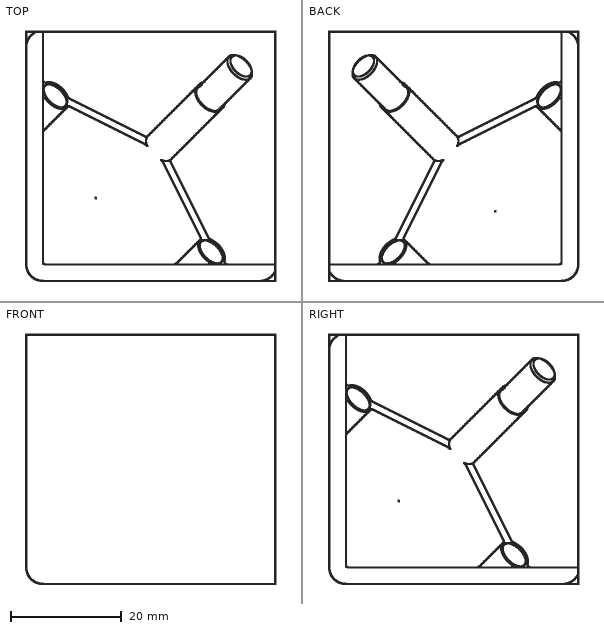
import cadquery as cq
import math

side = 45.0
wall = 3.0
outer_round = wall
inner_fillet = 0.4

relief_leg = wall
relief_radius = 2.0
relief_angle = math.radians(60)

shelf_height = 41.7
step_height = 57.05
tip_height = 67.2

pin_radius = 2.95
tip_radius = 2.75
tip_chamfer = 0.4

gusset_root_thickness = 3.0
gusset_top_thickness = 2.0

pad_radius = 2.95
pad_offset = 23.0
pad_length = 13.5
recess_radius = 2.6
recess_depth = 0.22

clearance = 0.45
tolerance = 0.05

origin = cq.Vector(0, 0, 0)
ones = cq.Vector(1, 1, 1)
diagonal = ones.normalized()
wall_normals = [cq.Vector(1, 0, 0), cq.Vector(0, 1, 0), cq.Vector(0, 0, 1)]
toward_walls = [(ones - normal * 3).normalized() for normal in wall_normals]


def cube(size):
    return cq.Workplane("XY").box(size, size, size, centered=False)


def make_walls():
    """Cube with its three edges at the origin rounded, hollowed to three walls."""
    block = cube(side)
    near_edges = [edge for edge in block.edges().vals() if edge.Center().dot(ones) < side]
    block = block.newObject(near_edges).fillet(outer_round)
    return block.cut(cube(side - wall).translate(ones * wall))


def make_pin():
    """Stepped round pin with a chamfered tip."""
    outline = [
        (0, 0),
        (pin_radius, 0),
        (pin_radius, step_height),
        (tip_radius, step_height),
        (tip_radius, tip_height - tip_chamfer),
        (tip_radius - tip_chamfer, tip_height),
        (0, tip_height),
    ]
    across = toward_walls[0]
    plane = cq.Plane(origin, across, across.cross(diagonal))
    return cq.Workplane(plane).polyline(outline).close().revolve(360, (0, 0), (0, 1))


def make_gusset(direction):
    """Gusset from the diagonal to a pad, thinning toward its top."""
    root = gusset_root_thickness / 2
    top = gusset_top_thickness / 2
    outline = [(-root, 0), (root, 0), (top, shelf_height), (-top, shelf_height)]
    plane = cq.Plane(origin, diagonal.cross(direction), direction)
    return cq.Workplane(plane).polyline(outline).close().extrude(pad_offset)


def make_pad_cylinder(direction, radius, depth):
    """Cylinder sunk from the top of a pad, parallel to the pin."""
    center = diagonal * shelf_height + direction * pad_offset
    return cq.Workplane(cq.Plane(center, direction, diagonal)).circle(radius).extrude(-depth)


def is_inner_corner(edge):
    """True for edges below the gusset tops where walls, pin, gussets and pads meet."""
    box = edge.BoundingBox()
    inside_walls = min(box.xmin, box.ymin, box.zmin) > wall - tolerance
    on_wall_end = max(box.xmin, box.ymin, box.zmin) > side - tolerance
    below_shelf = edge.Center().dot(diagonal) < shelf_height - tolerance
    return inside_walls and below_shelf and not on_wall_end


def relief_arc_point(angle):
    """Point on the relief arc, as (distance past the free corner, depth into the wall)."""
    start = -relief_leg / math.sqrt(2)
    return start + relief_radius * math.sin(angle), relief_radius * (1 - math.cos(angle))


def make_relief(normal):
    """Cutter that rounds off the outer free corner of the wall with this inward normal."""
    start = relief_arc_point(0)
    middle = relief_arc_point(relief_angle / 2)
    end = relief_arc_point(relief_angle)
    flat_depth = end[1] + (clearance - end[0]) * math.tan(relief_angle)
    outward = (ones - normal).normalized()
    plane = cq.Plane((ones - normal) * side, outward, outward.cross(normal))
    return (
        cq.Workplane(plane)
        .moveTo(*start)
        .threePointArc(middle, end)
        .lineTo(clearance, flat_depth)
        .lineTo(clearance, -clearance)
        .lineTo(start[0], -clearance)
        .close()
        .extrude(2 * relief_leg, both=True)
    )


inserts = make_pin()
for direction in toward_walls:
    inserts = inserts.union(make_gusset(direction))
    inserts = inserts.union(make_pad_cylinder(direction, pad_radius, pad_length))
inserts = inserts.intersect(cube(side).translate(ones * (wall / 2)))

body = make_walls().union(inserts)
inner_corners = [edge for edge in body.edges().vals() if is_inner_corner(edge)]
result = body.newObject(inner_corners).fillet(inner_fillet)

for direction in toward_walls:
    result = result.cut(make_pad_cylinder(direction, recess_radius, recess_depth))
for normal in wall_normals:
    result = result.cut(make_relief(normal))